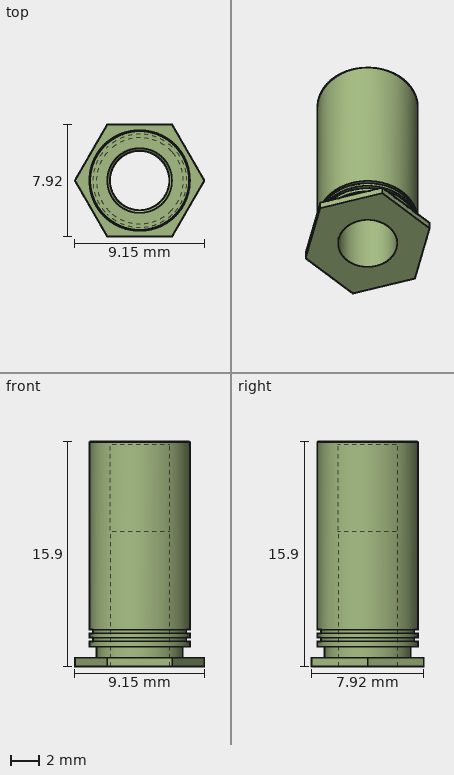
import cadquery as cq
import math

HEX_ACROSS_FLATS = 7.92
HEX_ACROSS_CORNERS = HEX_ACROSS_FLATS / math.cos(math.radians(30))
HEX_THICKNESS = 0.64

TOTAL_HEIGHT = 15.88
BARREL_DIAMETER = 7.11
NECK_DIAMETER = 6.1
NECK_TOP = 1.4
RIM_CHAMFER = 0.075

GROOVE_DIAMETER = 6.6
GROOVE_WIDTH = 0.255
GROOVE_COUNT = 2
FIRST_GROOVE_BOTTOM = 1.782
GROOVE_PITCH = 0.568

LOWER_BORE_DIAMETER = 4.17
LOWER_BORE_TOP = 9.53
UPPER_BORE_DIAMETER = 4.19
MOUTH_DIAMETER = 4.57
MOUTH_DEPTH = (MOUTH_DIAMETER - UPPER_BORE_DIAMETER) / 2
MOUTH_TAPER = 45


def cylinder(diameter, bottom, top):
    """Solid cylinder on the Z axis between two heights."""
    return cq.Workplane("XY").workplane(offset=bottom).circle(diameter / 2).extrude(top - bottom)


def hex_plate():
    """Base plate with two corners on the X axis."""
    return cq.Workplane("XY").polygon(6, HEX_ACROSS_CORNERS).extrude(HEX_THICKNESS)


def groove(bottom):
    """Ring of material removed by one groove."""
    top = bottom + GROOVE_WIDTH
    return cylinder(BARREL_DIAMETER, bottom, top).cut(cylinder(GROOVE_DIAMETER, bottom, top))


def barrel():
    """Neck and grooved barrel with a chamfered top rim."""
    neck = cylinder(NECK_DIAMETER, HEX_THICKNESS, NECK_TOP)
    body = cylinder(BARREL_DIAMETER, NECK_TOP, TOTAL_HEIGHT)
    body = body.faces(">Z").edges().chamfer(RIM_CHAMFER)
    for index in range(GROOVE_COUNT):
        body = body.cut(groove(FIRST_GROOVE_BOTTOM + index * GROOVE_PITCH))
    return neck.union(body)


def bore():
    """Volume removed by the stepped through bore and its conical mouth."""
    lower = cylinder(LOWER_BORE_DIAMETER, 0, LOWER_BORE_TOP)
    upper = cylinder(UPPER_BORE_DIAMETER, LOWER_BORE_TOP, TOTAL_HEIGHT)
    mouth = (
        cq.Workplane("XY")
        .workplane(offset=TOTAL_HEIGHT)
        .circle(MOUTH_DIAMETER / 2)
        .extrude(-MOUTH_DEPTH, taper=MOUTH_TAPER)
    )
    return lower.union(upper).union(mouth)


result = hex_plate().union(barrel()).cut(bore())